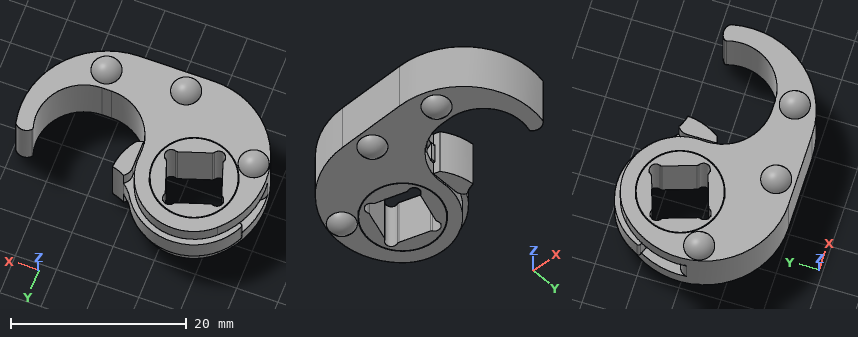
import cadquery as cq
import math


HOUSING_HEIGHT = 7.0
HEEL_RADIUS = 9.95
HEEL_X, HEEL_Y = 2.18, -2.27
BASE_Y = HEEL_Y - HEEL_RADIUS
BACK_RADIUS = 10.52
BACK_X = 11.17
BACK_Y = BASE_Y + BACK_RADIUS
COLLAR_RADIUS = HEEL_RADIUS - math.hypot(HEEL_X, HEEL_Y)

MOUTH_FLOOR_Y = -6.95
THROAT_RADIUS = 5.9
THROAT_Y = MOUTH_FLOOR_Y + THROAT_RADIUS
THROAT_X = math.sqrt((COLLAR_RADIUS + THROAT_RADIUS) ** 2 - THROAT_Y ** 2)
HOOK_RADIUS = 5.77
HOOK_X = 13.82
HOOK_Y = MOUTH_FLOOR_Y + HOOK_RADIUS
TIP_CORNER_Y = 0.65
TIP_CROWN = (20.45, 1.18)
TIP_CORNER_RADIUS = 0.27

RIVET_RADIUS = 1.77
OVERALL_HEIGHT = 9.4
RIVET_HEAD_HEIGHT = (OVERALL_HEIGHT - HOUSING_HEIGHT) / 2
RIVETS = [(-5.72, -4.05), (4.7, -9.95), (14.1, -9.25)]

HUB_RADIUS = 5.0
BORE_RADIUS = 5.1
POCKET_HEIGHT = 3.0
POCKET_RADIUS = 8.43
POST_RADIUS = 1.25
POST_X, POST_Y = -6.5, -3.35

CAM_HEIGHT = 2.9
CAM_RADIUS = 7.48
CAM_END_ANGLE = 158.5
CAM_TIP_RADIUS = 0.3
CAM_RIM_START_ANGLE = -17.5
CAM_TOE = (7.13, -2.77)
ROOT_OUTER_RADIUS = 6.33
ROOT_MIDDLE = (-5.4, 2.05)
ROOT_STEP = (-5.0, 1.68)
ROOT_INNER_ANGLE = 162.4

CLAW_INNER_X = 6.98
CLAW_LOWER_Y = -2.27
CLAW_INNER_TOP_Y = 1.25
CLAW_INNER_BEND = (7.13, 1.97)
CLAW_SHOULDER = (7.63, 2.53)
CLAW_SHOULDER_MIDDLE = (8.37, 2.18)
CLAW_TIP = (9.2, 1.95)
CLAW_FACE_MIDDLE = (8.8, 0.0)
CLAW_HEEL = (7.78, -2.0)
NECK_START_ANGLE = 35.5
NECK_MIDDLE = (6.8, 3.3)

DRIVE_SIDE = 6.42
DRIVE_ANGLE = 18.4
RELIEF_RADIUS = 0.77
RELIEF_REACH = 3.83
RELIEF_BLEND_RADIUS = 0.35


def polar(radius, degrees):
    angle = math.radians(degrees)
    return (radius * math.cos(angle), radius * math.sin(angle))


def right_of(center_x, center_y, radius, y):
    """Point at height y on the +X half of a circle."""
    return (center_x + math.sqrt(radius ** 2 - (y - center_y) ** 2), y)


def on_circle(center_x, center_y, radius, degrees):
    dx, dy = polar(radius, degrees)
    return (center_x + dx, center_y + dy)


def slab(height):
    """Workplane at the bottom of a layer centred on the mid-plane."""
    return cq.Workplane("XY").workplane(offset=-height / 2)


def make_plate():
    collar_heel_angle = math.degrees(math.atan2(-HEEL_Y, -HEEL_X))
    collar_throat_angle = math.degrees(math.atan2(THROAT_Y, THROAT_X))
    collar_middle_angle = (collar_heel_angle + collar_throat_angle) / 2
    throat_middle_angle = (180 + collar_throat_angle + 270) / 2
    tip_inner = right_of(HOOK_X, HOOK_Y, HOOK_RADIUS, TIP_CORNER_Y)
    tip_outer = right_of(BACK_X, BACK_Y, BACK_RADIUS, TIP_CORNER_Y)
    margin = TIP_CORNER_RADIUS
    return (
        slab(HOUSING_HEIGHT)
        .moveTo(HEEL_X, BASE_Y)
        .lineTo(BACK_X, BASE_Y)
        .threePointArc(on_circle(BACK_X, BACK_Y, BACK_RADIUS, -45), tip_outer)
        .threePointArc(TIP_CROWN, tip_inner)
        .threePointArc(on_circle(HOOK_X, HOOK_Y, HOOK_RADIUS, -45), (HOOK_X, MOUTH_FLOOR_Y))
        .lineTo(THROAT_X, MOUTH_FLOOR_Y)
        .threePointArc(
            on_circle(THROAT_X, THROAT_Y, THROAT_RADIUS, throat_middle_angle),
            polar(COLLAR_RADIUS, collar_throat_angle),
        )
        .threePointArc(
            polar(COLLAR_RADIUS, collar_middle_angle),
            polar(COLLAR_RADIUS, collar_heel_angle),
        )
        .threePointArc((HEEL_X - HEEL_RADIUS, HEEL_Y), (HEEL_X, BASE_Y))
        .close()
        .extrude(HOUSING_HEIGHT)
        .edges(cq.selectors.BoxSelector(
            (tip_inner[0] - margin, TIP_CORNER_Y - margin, -margin),
            (tip_outer[0] + margin, TIP_CORNER_Y + margin, margin),
        ))
        .fillet(TIP_CORNER_RADIUS)
    )


def make_pocket():
    """Round space for the cam, with the end post left standing in it."""
    post = slab(POCKET_HEIGHT).center(POST_X, POST_Y).circle(POST_RADIUS).extrude(POCKET_HEIGHT)
    return slab(POCKET_HEIGHT).circle(POCKET_RADIUS).extrude(POCKET_HEIGHT).cut(post)


def make_rivet_head(center):
    """Spherical cap on the top face of the housing."""
    face_z = HOUSING_HEIGHT / 2
    top_z = face_z + RIVET_HEAD_HEIGHT
    sphere_radius = (RIVET_RADIUS ** 2 + RIVET_HEAD_HEIGHT ** 2) / (2 * RIVET_HEAD_HEIGHT)
    center_z = top_z - sphere_radius
    rim_angle = math.degrees(math.asin((face_z - center_z) / sphere_radius))
    cap_middle = on_circle(0, center_z, sphere_radius, (rim_angle + 90) / 2)
    return (
        cq.Workplane("XZ")
        .moveTo(0, face_z)
        .lineTo(RIVET_RADIUS, face_z)
        .threePointArc(cap_middle, (0, top_z))
        .close()
        .revolve(360, (0, 0, 0), (0, 1, 0))
        .translate((*center, 0))
    )


def make_housing():
    bore = slab(HOUSING_HEIGHT).circle(BORE_RADIUS).extrude(HOUSING_HEIGHT)
    housing = make_plate().cut(bore).cut(make_pocket())
    for center in RIVETS:
        head = make_rivet_head(center)
        housing = housing.union(head).union(head.mirror("XY"))
    return housing


def make_cam():
    end_angle = CAM_END_ANGLE
    middle_angle = (CAM_RIM_START_ANGLE + end_angle) / 2
    return (
        slab(CAM_HEIGHT)
        .moveTo(*CAM_TOE)
        .lineTo(*polar(CAM_RADIUS, CAM_RIM_START_ANGLE))
        .threePointArc(polar(CAM_RADIUS, middle_angle), polar(CAM_RADIUS, end_angle))
        .lineTo(*polar(ROOT_OUTER_RADIUS, end_angle))
        .threePointArc(ROOT_MIDDLE, ROOT_STEP)
        .lineTo(*polar(HUB_RADIUS, ROOT_INNER_ANGLE))
        .lineTo(0, 0)
        .close()
        .extrude(CAM_HEIGHT)
        .edges(cq.selectors.NearestToPointSelector((*polar(CAM_RADIUS, end_angle), 0)))
        .fillet(CAM_TIP_RADIUS)
    )


def make_claw():
    return (
        slab(HOUSING_HEIGHT)
        .moveTo(CLAW_INNER_X, CLAW_LOWER_Y)
        .lineTo(CLAW_INNER_X, CLAW_INNER_TOP_Y)
        .threePointArc(CLAW_INNER_BEND, CLAW_SHOULDER)
        .threePointArc(CLAW_SHOULDER_MIDDLE, CLAW_TIP)
        .threePointArc(CLAW_FACE_MIDDLE, CLAW_HEEL)
        .close()
        .extrude(HOUSING_HEIGHT)
    )


def make_neck():
    """Web that carries the curve of the cam rim into the claw."""
    return (
        slab(CAM_HEIGHT)
        .moveTo(*polar(CAM_RADIUS, NECK_START_ANGLE))
        .threePointArc(NECK_MIDDLE, CLAW_SHOULDER)
        .lineTo(CLAW_INNER_X, CLAW_INNER_TOP_Y)
        .lineTo(*polar(HUB_RADIUS, NECK_START_ANGLE))
        .close()
        .extrude(CAM_HEIGHT)
    )


def make_drive_hole():
    hole = slab(HOUSING_HEIGHT).rect(DRIVE_SIDE, DRIVE_SIDE).extrude(HOUSING_HEIGHT)
    reliefs = (
        slab(HOUSING_HEIGHT)
        .polarArray(RELIEF_REACH, 45, 360, 4)
        .circle(RELIEF_RADIUS)
        .extrude(HOUSING_HEIGHT)
    )
    hole = hole.union(reliefs).edges("|Z").fillet(RELIEF_BLEND_RADIUS)
    return hole.rotate((0, 0, 0), (0, 0, 1), DRIVE_ANGLE)


def make_rotor():
    hub = slab(HOUSING_HEIGHT).circle(HUB_RADIUS).extrude(HOUSING_HEIGHT)
    return hub.union(make_cam()).union(make_neck()).union(make_claw()).cut(make_drive_hole())


housing = make_housing()
rotor = make_rotor()
result = cq.Compound.makeCompound([housing.val(), rotor.val()])